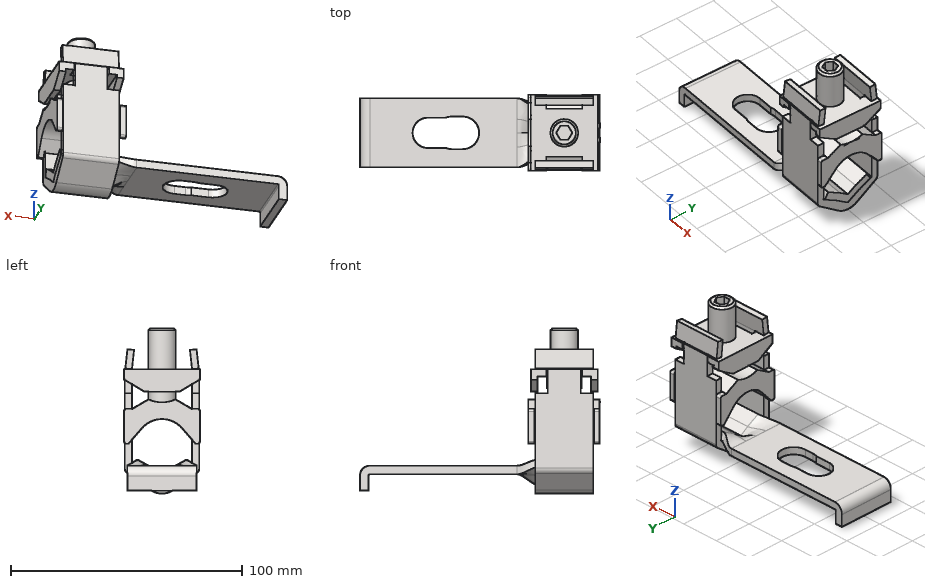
import cadquery as cq
import math


frame_length = 25.2
wall_outer_y = 16.2
wall_inner_y = 12.95
shoulder_z = 43.5
neck_width = 14.4
floor_radius = 8.5
floor_slope = math.radians(36)
floor_bend_radius = 2.7
tab_thickness = 3.0
tab_tilt = math.radians(6.3)
tab_height = 8.4

plate_length = 29.0
plate_width = 33.0
plate_top_z = 53.94
plate_thickness = 3.2
flange_thickness = 3.0
flange_side_height = 4.5
flange_drop = 9.75
flange_tip_width = 15.4
notch_length = 15.75
notch_inner_y = 10.44
boss_radius = 7.55
boss_bottom_z = 45.6

screw_radius = 6.0
screw_top_z = 71.73
screw_chamfer = 1.0
socket_flats = 6.0
socket_depth = 6.0

saddle_width = 33.0
saddle_left_x = -15.65
saddle_right_x = 15.35
saddle_flange_inner_x = 12.9
saddle_shoulder_z = 36.75
saddle_peak_z = 40.85
saddle_bottom_z = 21.67
saddle_corner_radius = 1.0
trough_half_width = 5.9
trough_depth = 1.3
arch_top_z = 32.27
arch_radius = 11.5
arch_leg_slope = math.radians(49)
nub_y = 3.1
nub_width = 1.9
nub_height = 0.3
nub_length = 0.2

strap_left_x = -88.5
strap_width = 30.0
strap_thickness = 3.8
arm_top_z = 12.2
lip_bottom_z = 1.3
hook_outer_radius = 4.4
hook_inner_radius = 0.5
arm_end_x = -20.6
vee_start_x = -11.3
crest_y = 10.6
crest_z = 14.8
kink_y = 4.25
vee_outer_slope = math.radians(29)
vee_inner_slope = math.radians(34)
transition_steps = 8
small_slot_radius = 6.5
small_slot_x = -59.1
large_slot_radius = 7.0
large_slot_left_x = -48.7
large_slot_right_x = -43.9


def extrude_along_x(profile, x_start, x_end):
    """Extrude a closed YZ workplane profile between two X positions."""
    return profile.extrude(x_end - x_start).translate((x_start, 0, 0))


def mirrored_outline(right_half):
    """Points of a YZ outline symmetric about Y = 0, from its +Y half."""
    left_half = [(-y, z) for y, z in reversed(right_half) if y > 0]
    return right_half + left_half


kink_z = crest_z - (crest_y - kink_y) * math.tan(vee_outer_slope)
vee_bottom_z = kink_z - kink_y * math.tan(vee_inner_slope)
vee_upper = [(0, vee_bottom_z), (kink_y, kink_z), (crest_y, crest_z)]

kink_slope = (vee_outer_slope + vee_inner_slope) / 2
kink_offset = strap_thickness / math.cos((vee_inner_slope - vee_outer_slope) / 2)
vee_lower = [
    (0, vee_bottom_z - strap_thickness / math.cos(vee_inner_slope)),
    (kink_y + kink_offset * math.sin(kink_slope), kink_z - kink_offset * math.cos(kink_slope)),
    (
        crest_y + strap_thickness * math.sin(vee_outer_slope),
        crest_z - strap_thickness * math.cos(vee_outer_slope),
    ),
]


def strap_section(x, blend):
    """Closed wire across the strap at x; blend 0 is the flat arm, 1 the full V."""
    flat_y = [0, strap_width / 2 * kink_y / crest_y, strap_width / 2]
    arm_bottom_z = arm_top_z - strap_thickness

    def blended(vee_points, flat_z):
        return [
            (y0 + (y1 - y0) * blend, flat_z + (z1 - flat_z) * blend)
            for y0, (y1, z1) in zip(flat_y, vee_points)
        ]

    lower = blended(vee_lower, arm_bottom_z)
    upper = blended(vee_upper, arm_top_z)
    outline = mirrored_outline(lower + upper[::-1])
    return cq.Wire.makePolygon([cq.Vector(x, y, z) for y, z in outline], close=True)


def make_strap():
    arm = (
        cq.Workplane("XZ")
        .moveTo(strap_left_x, lip_bottom_z)
        .lineTo(strap_left_x, arm_top_z)
        .lineTo(arm_end_x, arm_top_z)
        .lineTo(arm_end_x, arm_top_z - strap_thickness)
        .lineTo(strap_left_x + strap_thickness, arm_top_z - strap_thickness)
        .lineTo(strap_left_x + strap_thickness, lip_bottom_z)
        .close()
        .extrude(strap_width / 2, both=True)
    )
    hook_outer_edge = cq.selectors.NearestToPointSelector((strap_left_x, 0, arm_top_z))
    hook_inner_edge = cq.selectors.NearestToPointSelector(
        (strap_left_x + strap_thickness, 0, arm_top_z - strap_thickness)
    )
    arm = arm.edges("|Y").edges(hook_outer_edge).fillet(hook_outer_radius)
    arm = arm.edges("|Y").edges(hook_inner_edge).fillet(hook_inner_radius)

    small_slot = slot_cutter(small_slot_x, large_slot_right_x, small_slot_radius)
    large_slot = slot_cutter(large_slot_left_x, large_slot_right_x, large_slot_radius)
    arm = arm.cut(small_slot).cut(large_slot)

    sections = []
    for step in range(transition_steps + 1):
        t = step / transition_steps
        x = arm_end_x + (vee_start_x - arm_end_x) * t
        sections.append(strap_section(x, t * t * (3 - 2 * t)))
    transition = cq.Solid.makeLoft(sections, False)

    vee_face = cq.Face.makeFromWires(strap_section(vee_start_x, 1))
    vee_length = frame_length / 2 - vee_start_x
    vee = cq.Solid.extrudeLinear(vee_face, cq.Vector(vee_length, 0, 0))
    return arm.union(cq.Workplane(transition)).union(cq.Workplane(vee))


def slot_cutter(left_centre_x, right_centre_x, radius):
    centre_distance = right_centre_x - left_centre_x
    return (
        cq.Workplane("XY")
        .center((left_centre_x + right_centre_x) / 2, 0)
        .slot2D(centre_distance + 2 * radius, 2 * radius)
        .extrude(arm_top_z)
    )


def make_frame(strap):
    half_length = frame_length / 2

    arc_end_y = floor_radius * math.sin(floor_slope)
    arc_end_z = floor_radius * (1 - math.cos(floor_slope))
    arc_mid_y = floor_radius * math.sin(floor_slope / 2)
    arc_mid_z = floor_radius * (1 - math.cos(floor_slope / 2))
    floor_edge_z = arc_end_z + (wall_outer_y - arc_end_y) * math.tan(floor_slope)
    outer = (
        cq.Workplane("YZ")
        .moveTo(-wall_outer_y, plate_top_z)
        .lineTo(-wall_outer_y, floor_edge_z)
        .lineTo(-arc_end_y, arc_end_z)
        .threePointArc((-arc_mid_y, arc_mid_z), (0, 0))
        .threePointArc((arc_mid_y, arc_mid_z), (arc_end_y, arc_end_z))
        .lineTo(wall_outer_y, floor_edge_z)
        .lineTo(wall_outer_y, plate_top_z)
        .close()
    )
    frame = extrude_along_x(outer, -half_length, half_length)
    for side in (-1, 1):
        bend = cq.selectors.NearestToPointSelector((0, side * wall_outer_y, floor_edge_z))
        frame = frame.edges("|X").edges(bend).fillet(floor_bend_radius)

    lower_end_y, lower_end_z = vee_lower[-1]
    floor_inner_z = lower_end_z + (wall_inner_y - lower_end_y) * math.tan(vee_outer_slope)
    cavity_points = mirrored_outline(
        vee_lower[:-1] + [(wall_inner_y, floor_inner_z), (wall_inner_y, plate_top_z)]
    )
    cavity = cq.Workplane("YZ").polyline(cavity_points).close()
    frame = frame.cut(extrude_along_x(cavity, -half_length, half_length)).cut(strap)

    shoulder_length = half_length - neck_width / 2
    shoulder_height = plate_top_z - shoulder_z
    for side in (-1, 1):
        shoulder_cut = cq.Workplane("XY").box(
            shoulder_length, plate_width, shoulder_height, centered=(True, True, False)
        )
        shoulder_x = side * (half_length - shoulder_length / 2)
        frame = frame.cut(shoulder_cut.translate((shoulder_x, 0, shoulder_z)))

    tab = make_tab()
    return frame.union(tab).union(tab.mirror("XZ"))


def make_tab():
    """Wide tab on top of the +Y neck, leaning in over the clamping plate."""
    inner_base = (wall_inner_y, plate_top_z)
    outer_base = (
        wall_inner_y + tab_thickness * math.cos(tab_tilt),
        plate_top_z + tab_thickness * math.sin(tab_tilt),
    )
    rise_y = -tab_height * math.sin(tab_tilt)
    rise_z = tab_height * math.cos(tab_tilt)
    outer_tip = (outer_base[0] + rise_y, outer_base[1] + rise_z)
    inner_tip = (inner_base[0] + rise_y, inner_base[1] + rise_z)
    blade = cq.Workplane("YZ").polyline([inner_base, outer_base, outer_tip, inner_tip]).close()

    wedge = cq.Workplane("YZ").polyline([inner_base, (wall_outer_y, plate_top_z), outer_base]).close()
    blade = extrude_along_x(blade, -frame_length / 2, frame_length / 2)
    return blade.union(extrude_along_x(wedge, -neck_width / 2, neck_width / 2))


def make_plate():
    half_length = plate_length / 2
    plate = cq.Workplane("XY").box(
        plate_length, plate_width, plate_thickness, centered=(True, True, False)
    )
    plate = plate.translate((0, 0, plate_top_z - plate_thickness))

    flange_outline = mirrored_outline([
        (flange_tip_width / 2, plate_top_z - flange_drop),
        (plate_width / 2, plate_top_z - flange_side_height),
        (plate_width / 2, plate_top_z),
    ])
    for x_start in (-half_length, half_length - flange_thickness):
        flange = cq.Workplane("YZ").polyline(flange_outline).close()
        plate = plate.union(extrude_along_x(flange, x_start, x_start + flange_thickness))

    boss_height = plate_top_z - boss_bottom_z
    boss = cq.Workplane("XY").circle(boss_radius).extrude(boss_height)
    plate = plate.union(boss.translate((0, 0, boss_bottom_z)))

    notch_depth = plate_width / 2 - notch_inner_y
    for side in (-1, 1):
        notch = cq.Workplane("XY").box(notch_length, notch_depth, plate_top_z)
        notch_y = side * (plate_width / 2 - notch_depth / 2)
        plate = plate.cut(notch.translate((0, notch_y, plate_top_z)))

    screw_hole = cq.Workplane("XY").circle(screw_radius).extrude(screw_top_z)
    return plate.cut(screw_hole)


trough_bottom_z = saddle_peak_z - trough_depth


def saddle_profile():
    """Saddle outline: trough and slopes on top, an arch with straight legs below."""
    tangent_y = arch_radius * math.sin(arch_leg_slope)
    tangent_z = arch_top_z - arch_radius * (1 - math.cos(arch_leg_slope))
    foot_y = tangent_y + (tangent_z - saddle_bottom_z) / math.tan(arch_leg_slope)
    return (
        cq.Workplane("YZ")
        .moveTo(-trough_half_width, saddle_peak_z)
        .threePointArc((0, trough_bottom_z), (trough_half_width, saddle_peak_z))
        .lineTo(wall_inner_y, saddle_shoulder_z)
        .lineTo(saddle_width / 2, saddle_shoulder_z)
        .lineTo(saddle_width / 2, saddle_bottom_z)
        .lineTo(foot_y, saddle_bottom_z)
        .lineTo(tangent_y, tangent_z)
        .threePointArc((0, arch_top_z), (-tangent_y, tangent_z))
        .lineTo(-foot_y, saddle_bottom_z)
        .lineTo(-saddle_width / 2, saddle_bottom_z)
        .lineTo(-saddle_width / 2, saddle_shoulder_z)
        .lineTo(-wall_inner_y, saddle_shoulder_z)
        .close()
    )


def make_saddle():
    blank = extrude_along_x(saddle_profile(), saddle_left_x, saddle_right_x)
    for side in (-1, 1):
        for corner_z in (saddle_shoulder_z, saddle_bottom_z):
            corner = cq.selectors.NearestToPointSelector((0, side * saddle_width / 2, corner_z))
            blank = blank.edges("|X").edges(corner).fillet(saddle_corner_radius)

    flange_gap = 2 * saddle_flange_inner_x
    for side in (-1, 1):
        wall_clearance = cq.Workplane("XY").box(
            flange_gap, saddle_width, screw_top_z, centered=(True, True, False)
        )
        clearance_y = side * (wall_inner_y + saddle_width / 2)
        blank = blank.cut(wall_clearance.translate((0, clearance_y, 0)))

        nub = cq.Workplane("XY").box(nub_length, nub_width, nub_height, centered=(False, True, False))
        blank = blank.union(nub.translate((saddle_right_x, side * nub_y, trough_bottom_z)))
    return blank


def make_screw(saddle):
    tip_blank_z = trough_bottom_z - trough_depth
    body = (
        cq.Workplane("XY", origin=(0, 0, tip_blank_z))
        .circle(screw_radius)
        .extrude(screw_top_z - tip_blank_z)
        .faces(">Z")
        .chamfer(screw_chamfer)
        .cut(saddle)
    )
    socket_diameter = socket_flats / math.cos(math.pi / 6)
    socket = cq.Workplane("XY").polygon(6, socket_diameter).extrude(socket_depth)
    return body.cut(socket.translate((0, 0, screw_top_z - socket_depth)))


strap = make_strap()
frame = make_frame(strap)
plate = make_plate()
saddle = make_saddle()
screw = make_screw(saddle)

bodies = [strap, frame, plate, saddle, screw]
result = cq.Compound.makeCompound([body.solids().val() for body in bodies])